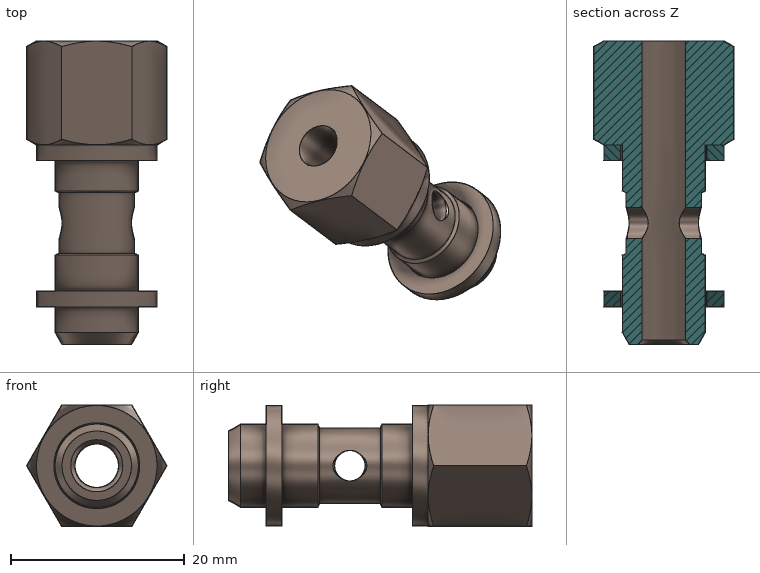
import cadquery as cq
import math


HEX_ACROSS_FLATS = 14.0
HEX_ACROSS_CORNERS = HEX_ACROSS_FLATS / math.cos(math.radians(30))
HEAD_LENGTH = 12.0
HEAD_FACE_DIAMETER = 13.9
HEAD_CHAMFER_ANGLE = 30.0
HEAD_CHAMFER_WIDTH = (HEX_ACROSS_CORNERS - HEAD_FACE_DIAMETER) / 2
HEAD_CHAMFER_DEPTH = HEAD_CHAMFER_WIDTH * math.tan(math.radians(HEAD_CHAMFER_ANGLE))

SHANK_LENGTH = 23.0
SHANK_DIAMETER = 9.6
TIP_DIAMETER = 8.0
TIP_CHAMFER_LENGTH = 1.4

GROOVE_DIAMETER = 8.75
GROOVE_CENTER = -9.0
GROOVE_FLOOR_LENGTH = 7.0
GROOVE_WALL_LENGTH = 0.2

BORE_DIAMETER = 5.0
BORE_MOUTH_DIAMETER = 6.0
CROSS_HOLE_DIAMETER = 3.5
CROSS_HOLE_CHAMFER = 0.2

WASHER_OUTER_DIAMETER = 13.9
WASHER_INNER_DIAMETER = 9.9
WASHER_THICKNESS = 1.8
HEAD_WASHER_FRONT = -WASHER_THICKNESS
TIP_WASHER_FRONT = -18.65


def revolve_around_y(points):
    """Revolve a closed (radius, y) outline around the Y axis."""
    return cq.Workplane("XY").polyline(points).close().revolve(360, (0, 0, 0), (0, 1, 0))


def make_head():
    """Hexagon with corners on X and its corners chamfered at both ends."""
    hexagon = (
        cq.Workplane("XZ")
        .polygon(6, HEX_ACROSS_CORNERS)
        .extrude(-HEAD_LENGTH)
    )
    face_radius = HEAD_FACE_DIAMETER / 2
    corner_radius = HEX_ACROSS_CORNERS / 2
    chamfer_envelope = revolve_around_y([
        (0, 0),
        (face_radius, 0),
        (corner_radius, HEAD_CHAMFER_DEPTH),
        (corner_radius, HEAD_LENGTH - HEAD_CHAMFER_DEPTH),
        (face_radius, HEAD_LENGTH),
        (0, HEAD_LENGTH),
    ])
    return hexagon.intersect(chamfer_envelope)


def make_shank():
    """Turned shank with a chamfered tip and a relief groove."""
    shank_radius = SHANK_DIAMETER / 2
    groove_radius = GROOVE_DIAMETER / 2
    floor_start = GROOVE_CENTER - GROOVE_FLOOR_LENGTH / 2
    floor_end = GROOVE_CENTER + GROOVE_FLOOR_LENGTH / 2
    return revolve_around_y([
        (0, -SHANK_LENGTH),
        (TIP_DIAMETER / 2, -SHANK_LENGTH),
        (shank_radius, -SHANK_LENGTH + TIP_CHAMFER_LENGTH),
        (shank_radius, floor_start - GROOVE_WALL_LENGTH),
        (groove_radius, floor_start),
        (groove_radius, floor_end),
        (shank_radius, floor_end + GROOVE_WALL_LENGTH),
        (shank_radius, 0),
        (0, 0),
    ])


def make_bore():
    """Axial through passage with a 45 degree countersink at the tip."""
    bore_radius = BORE_DIAMETER / 2
    mouth_radius = BORE_MOUTH_DIAMETER / 2
    return revolve_around_y([
        (0, -SHANK_LENGTH),
        (mouth_radius, -SHANK_LENGTH),
        (bore_radius, -SHANK_LENGTH + mouth_radius - bore_radius),
        (bore_radius, HEAD_LENGTH),
        (0, HEAD_LENGTH),
    ])


def make_cross_hole():
    """Radial passage along X with a 45 degree chamfer at both openings."""
    hole_radius = CROSS_HOLE_DIAMETER / 2
    end = SHANK_DIAMETER / 2
    cone_start = GROOVE_DIAMETER / 2 - CROSS_HOLE_CHAMFER
    mouth_radius = hole_radius + end - cone_start
    return (
        cq.Workplane("XY")
        .polyline([
            (-end, GROOVE_CENTER),
            (-end, GROOVE_CENTER + mouth_radius),
            (-cone_start, GROOVE_CENTER + hole_radius),
            (cone_start, GROOVE_CENTER + hole_radius),
            (end, GROOVE_CENTER + mouth_radius),
            (end, GROOVE_CENTER),
        ])
        .close()
        .revolve(360, (0, GROOVE_CENTER, 0), (1, GROOVE_CENTER, 0))
    )


def make_bolt():
    return make_head().union(make_shank()).cut(make_bore()).cut(make_cross_hole())


def make_washer(front):
    """Flat ring whose face nearer the tip lies at Y = front."""
    return (
        cq.Workplane("XZ", origin=(0, front, 0))
        .circle(WASHER_OUTER_DIAMETER / 2)
        .circle(WASHER_INNER_DIAMETER / 2)
        .extrude(-WASHER_THICKNESS)
    )


bolt = make_bolt()
washers = [make_washer(front) for front in (HEAD_WASHER_FRONT, TIP_WASHER_FRONT)]

result = cq.Compound.makeCompound([bolt.val(), *[washer.val() for washer in washers]])